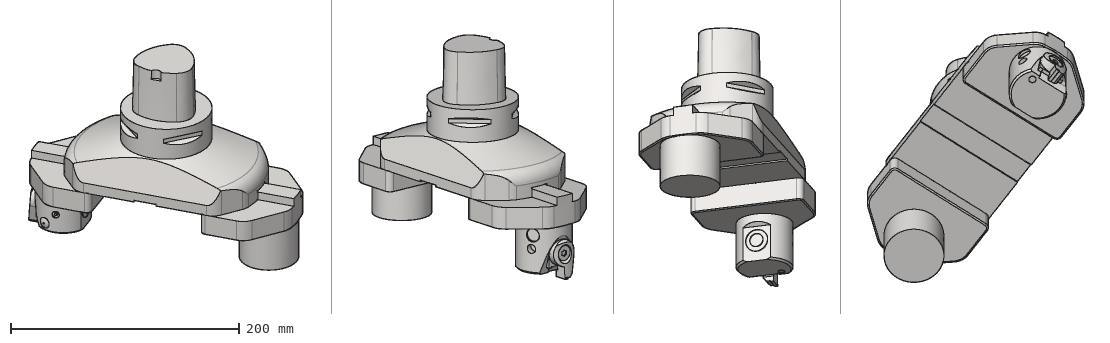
import cadquery as cq
import math


DEPTH = 104.0
CORNER_ANGLE = 40.0
CORNER_RADIUS = 16.0
BRIDGE_END_RADIUS = 89.8
BRIDGE_CORNER_REACH = 108.7
BODY_HEIGHT = 40.0
COLLAR_DIAMETER = 80.2
BODY_TOP_RADIUS = COLLAR_DIAMETER / 2
CONE_ANGLE = 19.6
SHOULDER_RADIUS = 13.9
SIDE_WALL_HEIGHT = 9.8
SIDE_LEAN = 19.0
RELIEF_WIDTH = 20.7
RELIEF_DEPTH = 1.5
COLLAR_HEIGHT = 29.8
GROOVE_FLOOR_DISTANCE = 35.5
GROOVE_FLOOR_WIDTH = 3.8
GROOVE_MOUTH_WIDTH = 8.8
GROOVE_ANGLES = (45, 135, 225, 315)
GROOVE_HEIGHT = 18.0
SPIGOT_HEIGHT = 48.0
SPIGOT_LOBE_RADIUS = 29.8
SPIGOT_JOINT_RADIUS = 28.0
SPIGOT_FLAT_RADIUS = 25.5
SPIGOT_JOINT_ANGLE = 20.0
SPIGOT_LOBES = (90, 210, 330)
SPIGOT_LOBE_PITCH = 120
SPIGOT_TAPER = 1.2
NOTCH_DIAMETER = 10.0
NOTCH_CENTRE_Y = -26.2
NOTCH_DEPTH = 8.3

PLATE_END_RADIUS = 123.3
PLATE_CORNER_REACH = 137.0
PLATE_INNER_X = 51.5
PLATE_INNER_CORNER_RADIUS = 5.0
PLATE_END_CORNER_RADIUS = 17.7
PLATE_RIM_HEIGHT = 1.5
PLATE_RIM_INSET = 0.8
SLIDE_THICKNESS = 20.5
WEIGHT_THICKNESS = 20.0
KEY_WIDTH = 17.7
KEY_HEIGHT = 7.5
KEYWAY_HEIGHT = 8.8
WEIGHT_RADIUS = 26.2
WEIGHT_X = 97.0
WEIGHT_Y = -2.0
WEIGHT_BOTTOM = -58.0

HEAD_X = -97.4
HEAD_Y = 2.0
HEAD_RADIUS = 25.0
HEAD_BOTTOM = -63.0
HEAD_CHAMFER = 1.8
HEAD_FLAT_X = -76.0
HEAD_FLAT_TOP = -30.8
HEAD_FLAT_RUNOUT = 0.9
FACE_ANGLE = 15.0
FACE_TOP = -29.0
SEAT_X = -118.3
SEAT_RADIUS = 12.0
SEAT_BOTTOM = -57.5
AXIS_Z = -44.5
CLEARANCE_TOP = -56.7
CLEARANCE_LEAN = 30.0
CLEARANCE_SIDE_Y = 10.5
PAD_Z = -44.1
PAD_STEPS = ((20.2, 0.8), (12.0, 1.5))
SIDE_HOLES = ((12.0, 64.0, -27.5, 2.5), (8.0, 67.0, -40.0, 7.5))
ADJUSTER_X = -95.0
ADJUSTER_Z = -44.1
ADJUSTER_DIAMETER = 6.3
ADJUSTER_DEPTH = 1.3
ADJUSTER_SOCKET_DIAMETER = 2.8
ADJUSTER_SOCKET_DEPTH = 3.8
OUTLET_X = -107.0
OUTLET_Y = 14.5
OUTLET_DIAMETER = 6.3
OUTLET_HEIGHT = 0.5

INSERT_DIAMETER = 24.0
INSERT_RADIUS = INSERT_DIAMETER / 2
INSERT_BEVEL_RADIUS = 20.2
INSERT_BEVEL_SLOPE = 40.0
INSERT_BEVEL_START = 4.8
INSERT_HEIGHT = 11.5
CROWN_RADIUS = 32.0
CROWN_LEAN = 4.3
CROWN_FOOT_X = -128.0
INSERT_BOTTOM = -67.3
INSERT_HEEL_X = -116.0
INSERT_HEEL_HEIGHT = 4.8
INSERT_HEEL_SLOPE = 2.5
TONGUE_CUT_Y = 4.0
TONGUE_BEVEL_Y = -2.3
TONGUE_FLANK_Y = -5.3
TONGUE_BEVEL_HEIGHT = 3.8
TONGUE_FLANK_ANGLE = 15.0
TIP_X = -129.0
TIP_WIDTH = 3.0
TIP_HEIGHT = 1.5
TIP_DROP = 0.8
RECESS_FLOOR = 3.0
COUNTERSINK_SLOPE = 45.0
SCREW_HEAD_DIAMETER = 13.5
SCREW_HEAD_HEIGHT = 3.5
SCREW_SHANK_DIAMETER = 8.5
SCREW_SHANK_DEPTH = 10.0
SCREW_HEX_FLATS = 5.0
SCREW_HEX_DEPTH = 1.5
HEX_HALF_SIDE_ANGLE = 30.0
NOZZLE_DIAMETER = 10.0
NOZZLE_ANGLE = 20.5
NOZZLE_Z = -55.0
NOZZLE_DEPTH = 7.5
NOZZLE_DOME = 1.0
NOZZLE_BORE_DIAMETER = 1.0

HALF_DEPTH = DEPTH / 2
MARGIN = 50.5
EDGE_REACH = 2.5
COLLAR_TOP = BODY_HEIGHT + COLLAR_HEIGHT
SPIGOT_TOP = COLLAR_TOP + SPIGOT_HEIGHT


def tan(angle):
    return math.tan(math.radians(angle))


def polar(radius, angle):
    return (radius * math.cos(math.radians(angle)), radius * math.sin(math.radians(angle)))


def block(x_range, y_range, z_range):
    size = [high - low for low, high in (x_range, y_range, z_range)]
    return cq.Workplane("XY").box(*size, centered=False).translate((x_range[0], y_range[0], z_range[0]))


def clipped_corner(end_radius, reach):
    """Plan corners of a clipped end: on the end arc and on the long side."""
    slope = tan(CORNER_ANGLE)
    a = 1 + slope**2
    b = reach * slope
    end_y = (b - math.sqrt(b**2 - a * (reach**2 - end_radius**2))) / a
    return (reach - slope * end_y, end_y), (reach - slope * HALF_DEPTH, HALF_DEPTH)


def bridge_blank():
    (end_x, end_y), (side_x, side_y) = clipped_corner(BRIDGE_END_RADIUS, BRIDGE_CORNER_REACH)
    plan = (
        cq.Workplane("XY")
        .moveTo(-side_x, -side_y)
        .lineTo(side_x, -side_y)
        .lineTo(end_x, -end_y)
        .threePointArc((BRIDGE_END_RADIUS, 0), (end_x, end_y))
        .lineTo(side_x, side_y)
        .lineTo(-side_x, side_y)
        .lineTo(-end_x, end_y)
        .threePointArc((-BRIDGE_END_RADIUS, 0), (-end_x, -end_y))
        .close()
        .extrude(BODY_HEIGHT)
    )
    return plan.edges("|Z").fillet(CORNER_RADIUS)


def bridge_cap():
    """Revolved envelope: flat top, cone and rounded shoulder."""
    cone_end_z = BODY_HEIGHT - (BRIDGE_END_RADIUS - BODY_TOP_RADIUS) * tan(CONE_ANGLE)
    setback = SHOULDER_RADIUS * tan((90 - CONE_ANGLE) / 2)
    centre = (BRIDGE_END_RADIUS - SHOULDER_RADIUS, cone_end_z - setback)
    start = polar(SHOULDER_RADIUS, 90 - CONE_ANGLE)
    middle = polar(SHOULDER_RADIUS, (90 - CONE_ANGLE) / 2)
    return (
        cq.Workplane("XZ")
        .lineTo(0, BODY_HEIGHT)
        .lineTo(BODY_TOP_RADIUS, BODY_HEIGHT)
        .lineTo(centre[0] + start[0], centre[1] + start[1])
        .threePointArc((centre[0] + middle[0], centre[1] + middle[1]), (BRIDGE_END_RADIUS, centre[1]))
        .lineTo(BRIDGE_END_RADIUS, 0)
        .close()
        .revolve(360, (0, 0), (0, 1))
    )


def bridge_side_envelope():
    top_y = HALF_DEPTH - (BODY_HEIGHT - SIDE_WALL_HEIGHT) * tan(SIDE_LEAN)
    section = [
        (-HALF_DEPTH, 0),
        (HALF_DEPTH, 0),
        (HALF_DEPTH, SIDE_WALL_HEIGHT),
        (top_y, BODY_HEIGHT),
        (-top_y, BODY_HEIGHT),
        (-HALF_DEPTH, SIDE_WALL_HEIGHT),
    ]
    return cq.Workplane("YZ").polyline(section).close().extrude(BRIDGE_END_RADIUS + MARGIN, both=True)


def gripper_groove(angle):
    depth = COLLAR_DIAMETER / 2 - GROOVE_FLOOR_DISTANCE
    flare = (GROOVE_MOUTH_WIDTH - GROOVE_FLOOR_WIDTH) / 2 / depth
    outer = COLLAR_DIAMETER
    outer_half = GROOVE_FLOOR_WIDTH / 2 + (outer - GROOVE_FLOOR_DISTANCE) * flare
    middle_z = BODY_HEIGHT + GROOVE_HEIGHT
    section = [
        (GROOVE_FLOOR_DISTANCE, middle_z - GROOVE_FLOOR_WIDTH / 2),
        (outer, middle_z - outer_half),
        (outer, middle_z + outer_half),
        (GROOVE_FLOOR_DISTANCE, middle_z + GROOVE_FLOOR_WIDTH / 2),
    ]
    groove = cq.Workplane("XZ").polyline(section).close().extrude(COLLAR_DIAMETER / 2, both=True)
    return groove.rotate((0, 0, 0), (0, 0, 1), angle)


def collar():
    ring = cq.Workplane("XY").workplane(offset=BODY_HEIGHT).circle(COLLAR_DIAMETER / 2).extrude(COLLAR_HEIGHT)
    for angle in GROOVE_ANGLES:
        ring = ring.cut(gripper_groove(angle))
    return ring


def spigot():
    """Tapered three-lobed spigot with a small round notch in its top edge."""
    outline = cq.Workplane("XY").workplane(offset=COLLAR_TOP)
    outline = outline.moveTo(*polar(SPIGOT_JOINT_RADIUS, 90 - SPIGOT_JOINT_ANGLE))
    for lobe in SPIGOT_LOBES:
        after_lobe = polar(SPIGOT_JOINT_RADIUS, lobe + SPIGOT_JOINT_ANGLE)
        next_lobe = polar(SPIGOT_JOINT_RADIUS, lobe + SPIGOT_LOBE_PITCH - SPIGOT_JOINT_ANGLE)
        outline = outline.threePointArc(polar(SPIGOT_LOBE_RADIUS, lobe), after_lobe)
        outline = outline.threePointArc(polar(SPIGOT_FLAT_RADIUS, lobe + SPIGOT_LOBE_PITCH / 2), next_lobe)
    shank = outline.close().extrude(SPIGOT_HEIGHT, taper=SPIGOT_TAPER)
    notch = (
        cq.Workplane("XY")
        .workplane(offset=SPIGOT_TOP - NOTCH_DEPTH)
        .center(0, NOTCH_CENTRE_Y)
        .circle(NOTCH_DIAMETER / 2)
        .extrude(NOTCH_DEPTH)
    )
    return shank.cut(notch)


def make_bridge():
    body = bridge_blank().intersect(bridge_side_envelope()).intersect(bridge_cap())
    half_relief = RELIEF_WIDTH / 2
    body = body.cut(block((-half_relief, half_relief), (-DEPTH, DEPTH), (0, RELIEF_DEPTH)))
    keyway = block(
        (PLATE_INNER_X, BRIDGE_END_RADIUS + MARGIN),
        (-KEY_WIDTH / 2, KEY_WIDTH / 2),
        (0, KEYWAY_HEIGHT),
    )
    body = body.cut(keyway).cut(keyway.mirror("YZ"))
    return body.union(collar()).union(spigot())


def round_uprights(plate, x, radius):
    """Round the pair of upright edges at the given X."""
    near_x = cq.selectors.BoxSelector((x - EDGE_REACH, -DEPTH, -DEPTH), (x + EDGE_REACH, DEPTH, DEPTH))
    return plate.edges("|Z").edges(near_x).fillet(radius)


def keyed_plate(thickness):
    """Plate with its key, for the +X end of the bridge."""
    (end_x, end_y), (side_x, side_y) = clipped_corner(PLATE_END_RADIUS, PLATE_CORNER_REACH)
    plate = (
        cq.Workplane("XY")
        .moveTo(PLATE_INNER_X, -side_y)
        .lineTo(side_x, -side_y)
        .lineTo(end_x, -end_y)
        .threePointArc((PLATE_END_RADIUS, 0), (end_x, end_y))
        .lineTo(side_x, side_y)
        .lineTo(PLATE_INNER_X, side_y)
        .close()
        .extrude(-thickness)
    )
    plate = round_uprights(plate, PLATE_INNER_X, PLATE_INNER_CORNER_RADIUS)
    plate = round_uprights(plate, side_x, CORNER_RADIUS)
    plate = round_uprights(plate, end_x, PLATE_END_CORNER_RADIUS)
    plate = plate.faces("<Z").chamfer(PLATE_RIM_INSET, PLATE_RIM_HEIGHT)
    key = block(
        (PLATE_INNER_X, PLATE_END_RADIUS + MARGIN), (-KEY_WIDTH / 2, KEY_WIDTH / 2), (0, KEY_HEIGHT)
    ).intersect(cq.Workplane("XY").circle(PLATE_END_RADIUS).extrude(KEY_HEIGHT))
    return plate.union(key)


def make_slide():
    return keyed_plate(SLIDE_THICKNESS).mirror("YZ")


def make_counterweight():
    weight = (
        cq.Workplane("XY")
        .workplane(offset=WEIGHT_BOTTOM)
        .center(WEIGHT_X, WEIGHT_Y)
        .circle(WEIGHT_RADIUS)
        .extrude(-WEIGHT_THICKNESS - WEIGHT_BOTTOM)
    )
    return keyed_plate(WEIGHT_THICKNESS).union(weight)


def face_x(z):
    """X of the leaning insert face at height z."""
    return HEAD_X - HEAD_RADIUS + (FACE_TOP - z) * tan(FACE_ANGLE)


def seat_plane():
    """Centre of the insert seat; local Z points outwards, local Y upwards."""
    return cq.Plane(origin=(SEAT_X, HEAD_Y, AXIS_Z), xDir=(0, -1, 0), normal=(-1, 0, 0))


def radial_plane(angle, z):
    """Plane touching the head cylinder; angle is turned from -X towards +Y."""
    dx, dy = polar(1, 180 - angle)
    return cq.Plane(
        origin=(HEAD_X + HEAD_RADIUS * dx, HEAD_Y + HEAD_RADIUS * dy, z),
        xDir=(-dy, dx, 0),
        normal=(dx, dy, 0),
    )


def nozzle_plane():
    return radial_plane(NOZZLE_ANGLE - 90, NOZZLE_Z)


def head_blank():
    blank = (
        cq.Workplane("XY")
        .workplane(offset=HEAD_BOTTOM)
        .center(HEAD_X, HEAD_Y)
        .circle(HEAD_RADIUS)
        .extrude(-SLIDE_THICKNESS - HEAD_BOTTOM)
    )
    return blank.faces("<Z").chamfer(HEAD_CHAMFER)


def head_flat():
    runout_x = HEAD_FLAT_X + MARGIN
    section = [
        (HEAD_FLAT_X, HEAD_BOTTOM),
        (HEAD_FLAT_X, HEAD_FLAT_TOP),
        (runout_x, HEAD_FLAT_TOP + HEAD_FLAT_RUNOUT * MARGIN),
        (runout_x, HEAD_BOTTOM),
    ]
    return (
        cq.Workplane("XZ").polyline(section).close().extrude(MARGIN, both=True)
        .intersect(block((HEAD_FLAT_X, runout_x), (-MARGIN, MARGIN), (HEAD_BOTTOM, -SLIDE_THICKNESS)))
    )


def head_insert_face():
    """Material removed in front of the leaning face, leaving the raised pad."""
    outer_x = HEAD_X - MARGIN
    section = [
        (outer_x, FACE_TOP),
        (face_x(FACE_TOP), FACE_TOP),
        (face_x(HEAD_BOTTOM), HEAD_BOTTOM),
        (outer_x, HEAD_BOTTOM),
    ]
    removed = cq.Workplane("XZ").polyline(section).close().extrude(MARGIN, both=True)
    pad = block(
        (SEAT_X, HEAD_X),
        (HEAD_Y - SEAT_RADIUS, HEAD_Y + SEAT_RADIUS),
        (SEAT_BOTTOM, AXIS_Z),
    )
    pocket = cq.Workplane(seat_plane()).circle(SEAT_RADIUS).extrude(MARGIN)
    return removed.cut(pad).union(pocket)


def head_clearance():
    """Clearance under the insert, open on the -Y side."""
    outer_x = HEAD_X - MARGIN
    top_x = face_x(CLEARANCE_TOP)
    section = [
        (outer_x, CLEARANCE_TOP),
        (top_x, CLEARANCE_TOP),
        (top_x + (CLEARANCE_TOP - HEAD_BOTTOM) * tan(CLEARANCE_LEAN), HEAD_BOTTOM),
        (outer_x, HEAD_BOTTOM),
    ]
    wedge = cq.Workplane("XZ").polyline(section).close().extrude(MARGIN, both=True)
    open_side = block((outer_x, HEAD_X), (-MARGIN, CLEARANCE_SIDE_Y), (HEAD_BOTTOM, CLEARANCE_TOP))
    return wedge.intersect(open_side)


def make_head():
    head = head_blank().cut(head_flat()).cut(head_insert_face()).cut(head_clearance())
    for diameter, projection in PAD_STEPS:
        pad = (
            cq.Workplane("YZ", origin=(HEAD_FLAT_X, HEAD_Y, PAD_Z))
            .circle(diameter / 2)
            .extrude(projection)
        )
        head = head.union(pad)
    for diameter, angle, z, depth in SIDE_HOLES:
        hole = cq.Workplane(radial_plane(angle, z)).circle(diameter / 2).extrude(depth, both=True)
        head = head.cut(hole)
    adjuster = cq.Workplane("XZ", origin=(ADJUSTER_X, HEAD_Y - HEAD_RADIUS, ADJUSTER_Z))
    head = head.cut(adjuster.circle(ADJUSTER_DIAMETER / 2).extrude(ADJUSTER_DEPTH, both=True))
    head = head.cut(adjuster.circle(ADJUSTER_SOCKET_DIAMETER / 2).extrude(ADJUSTER_SOCKET_DEPTH, both=True))
    outlet = (
        cq.Workplane("XY", origin=(OUTLET_X, OUTLET_Y, HEAD_BOTTOM - OUTLET_HEIGHT))
        .circle(OUTLET_DIAMETER / 2)
        .extrude(OUTLET_HEIGHT + HEAD_CHAMFER)
    )
    screw_hole = cq.Workplane(seat_plane()).circle(SCREW_SHANK_DIAMETER / 2)
    screw_hole = screw_hole.extrude(SCREW_SHANK_DEPTH, both=True)
    nozzle_hole = cq.Workplane(nozzle_plane()).circle(NOZZLE_DIAMETER / 2).extrude(NOZZLE_DEPTH, both=True)
    return head.union(outlet).cut(screw_hole).cut(nozzle_hole)


def insert_disc():
    """Disc whose top is bevelled by a large slanting cylinder."""
    disc = cq.Workplane(seat_plane()).circle(INSERT_RADIUS).extrude(INSERT_HEIGHT)
    slope = math.radians(INSERT_BEVEL_SLOPE)
    start_x = SEAT_X - INSERT_BEVEL_START
    start_z = AXIS_Z + INSERT_RADIUS
    axis = cq.Plane(
        origin=(
            start_x + INSERT_BEVEL_RADIUS * math.sin(slope),
            HEAD_Y,
            start_z - INSERT_BEVEL_RADIUS * math.cos(slope),
        ),
        xDir=(0, 1, 0),
        normal=(math.cos(slope), 0, math.sin(slope)),
    )
    return disc.intersect(cq.Workplane(axis).circle(INSERT_BEVEL_RADIUS).extrude(MARGIN, both=True))


def insert_tongue():
    """Cutting tongue hanging from the disc, with one bevelled bottom corner and a heel."""
    bottom = INSERT_BOTTOM + TIP_DROP
    touch_x, touch_z = polar(INSERT_RADIUS, TONGUE_FLANK_ANGLE)
    face_outline = [
        (TONGUE_CUT_Y, AXIS_Z),
        (TONGUE_CUT_Y, bottom),
        (TONGUE_BEVEL_Y, bottom),
        (TONGUE_FLANK_Y, INSERT_BOTTOM + TONGUE_BEVEL_HEIGHT),
        (HEAD_Y - touch_x, AXIS_Z - touch_z),
    ]
    heel_top = INSERT_BOTTOM + INSERT_HEEL_HEIGHT
    outer_x = SEAT_X - INSERT_HEIGHT
    side_outline = [
        (outer_x, AXIS_Z),
        (SEAT_X, AXIS_Z),
        (SEAT_X, heel_top + INSERT_HEEL_SLOPE),
        (INSERT_HEEL_X, heel_top),
        (INSERT_HEEL_X, INSERT_BOTTOM),
        (outer_x, INSERT_BOTTOM),
    ]
    face = cq.Workplane("YZ", origin=(HEAD_X, 0, 0)).polyline(face_outline).close().extrude(-MARGIN)
    side = cq.Workplane("XZ").polyline(side_outline).close().extrude(MARGIN, both=True)
    return face.intersect(side)


def insert_crown():
    """Leaning cylinder that gives the insert its crowned outer face."""
    lean = math.radians(CROWN_LEAN)
    axis = cq.Plane(
        origin=(CROWN_FOOT_X + CROWN_RADIUS / math.cos(lean), HEAD_Y, INSERT_BOTTOM),
        xDir=(0, 1, 0),
        normal=(math.sin(lean), 0, math.cos(lean)),
    )
    return cq.Workplane(axis).circle(CROWN_RADIUS).extrude(MARGIN, both=True)


def insert_tip():
    return block(
        (TIP_X, INSERT_HEEL_X),
        (TONGUE_CUT_Y - TIP_WIDTH, TONGUE_CUT_Y),
        (INSERT_BOTTOM, INSERT_BOTTOM + TIP_HEIGHT),
    )


def make_insert():
    insert = insert_disc().union(insert_tongue()).intersect(insert_crown()).union(insert_tip())
    seat = cq.Workplane(seat_plane())
    hole = seat.circle(SCREW_SHANK_DIAMETER / 2).extrude(RECESS_FLOOR)
    recess = seat.workplane(offset=RECESS_FLOOR).circle(SCREW_HEAD_DIAMETER / 2).extrude(SCREW_HEAD_HEIGHT)
    countersink = (
        seat.workplane(offset=RECESS_FLOOR + SCREW_HEAD_HEIGHT)
        .circle(SCREW_HEAD_DIAMETER / 2)
        .extrude(INSERT_HEIGHT, taper=-COUNTERSINK_SLOPE)
    )
    return insert.cut(hole).cut(recess).cut(countersink)


def make_screw():
    head_top = RECESS_FLOOR + SCREW_HEAD_HEIGHT
    head = cq.Workplane(seat_plane()).workplane(offset=RECESS_FLOOR).circle(SCREW_HEAD_DIAMETER / 2)
    head = head.extrude(SCREW_HEAD_HEIGHT)
    shank = (
        cq.Workplane(seat_plane())
        .workplane(offset=-SCREW_SHANK_DEPTH)
        .circle(SCREW_SHANK_DIAMETER / 2)
        .extrude(SCREW_SHANK_DEPTH + RECESS_FLOOR)
    )
    socket = (
        cq.Workplane(seat_plane())
        .workplane(offset=head_top)
        .transformed(rotate=(0, 0, HEX_HALF_SIDE_ANGLE))
        .polygon(6, SCREW_HEX_FLATS / math.cos(math.radians(HEX_HALF_SIDE_ANGLE)))
        .extrude(-SCREW_HEX_DEPTH)
    )
    return head.union(shank).cut(socket)


def make_nozzle():
    """Round plug with a domed outer end."""
    radius = NOZZLE_DIAMETER / 2
    rim_drop = HEAD_RADIUS - math.sqrt(HEAD_RADIUS**2 - radius**2)
    dome_radius = (radius**2 + (NOZZLE_DOME + rim_drop) ** 2) / 2 / (NOZZLE_DOME + rim_drop)
    plug = (
        cq.Workplane(nozzle_plane())
        .workplane(offset=-NOZZLE_DEPTH)
        .circle(radius)
        .extrude(NOZZLE_DEPTH + NOZZLE_DOME)
    )
    dome_centre = nozzle_plane().toWorldCoords((0, 0, NOZZLE_DOME - dome_radius))
    bore = cq.Workplane(nozzle_plane()).circle(NOZZLE_BORE_DIAMETER / 2).extrude(NOZZLE_DEPTH, both=True)
    return plug.intersect(cq.Workplane("XY").sphere(dome_radius).translate(dome_centre)).cut(bore)


bridge = make_bridge()
slide = make_slide()
counterweight = make_counterweight()
head = make_head()
insert = make_insert()
screw = make_screw()
nozzle = make_nozzle()

result = cq.Compound.makeCompound(
    [
        bridge.solids().val(),
        slide.solids().val(),
        counterweight.solids().val(),
        head.solids().val(),
        insert.solids().val(),
        screw.solids().val(),
        nozzle.solids().val(),
    ]
)